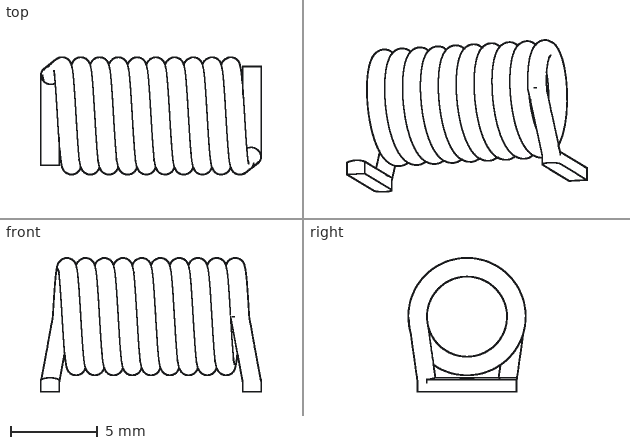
import cadquery as cq

wire_diameter = 1.08
coil_outer_diameter = 6.8
overall_length = 12.75
overall_height = 7.75
turn_count = 9.5
pitch = 1.082
foot_base_height = 0.54
foot_side_height = 0.71
foot_crown_height = 0.82

wire_radius = wire_diameter / 2
coil_radius = (coil_outer_diameter - wire_diameter) / 2
coil_length = pitch * turn_count
coil_start_x = -coil_length / 2
axis_z = overall_height - coil_outer_diameter / 2
foot_x = -(overall_length - wire_diameter) / 2
foot_end_y = coil_radius
foot_round_y = foot_end_y - wire_radius
axis_cycle_angle = 120
half_turn_angle = 180

start_point = cq.Vector(coil_start_x, coil_radius, axis_z)
up = cq.Vector(0, 0, 1)


def make_coil():
    """Round wire wound around the X axis, from +Y over the top toward -Y."""
    helix = cq.Wire.makeHelix(pitch, coil_length, coil_radius)
    helix = helix.rotate(cq.Vector(0, 0, 0), cq.Vector(1, 1, 1), axis_cycle_angle)
    helix = helix.translate(cq.Vector(coil_start_x, 0, axis_z))
    section = cq.Workplane("XY", origin=start_point.toTuple()).circle(wire_radius)
    return section.sweep(cq.Workplane(helix), isFrenet=True)


def make_leg():
    """Slanted round leg from the foot up to the start of the coil."""
    foot_centre = cq.Vector(foot_x, foot_round_y, foot_base_height)
    bottom = cq.Wire.makeCircle(wire_radius, foot_centre, up)
    top = cq.Wire.makeCircle(wire_radius, start_point, up)
    return cq.Workplane(cq.Solid.makeLoft([bottom, top], True))


def make_foot():
    """Solder foot along Y: a crowned bar with a half-round end under the leg."""
    bar_length = foot_end_y + foot_round_y
    bar = (
        cq.Workplane("XZ", origin=(foot_x, foot_round_y, 0))
        .moveTo(-wire_radius, 0)
        .lineTo(wire_radius, 0)
        .lineTo(wire_radius, foot_side_height)
        .threePointArc((0, foot_crown_height), (-wire_radius, foot_side_height))
        .close()
        .extrude(bar_length)
    )
    round_end = (
        cq.Workplane("XY", origin=(foot_x, foot_round_y, 0))
        .circle(wire_radius)
        .extrude(foot_base_height)
    )
    return bar.union(round_end)


def make_terminal():
    """Foot and leg at the start of the coil."""
    return make_foot().union(make_leg())


start_terminal = make_terminal()
end_terminal = start_terminal.rotate((0, 0, 0), (0, 0, 1), half_turn_angle)
result = make_coil().union(start_terminal).union(end_terminal)